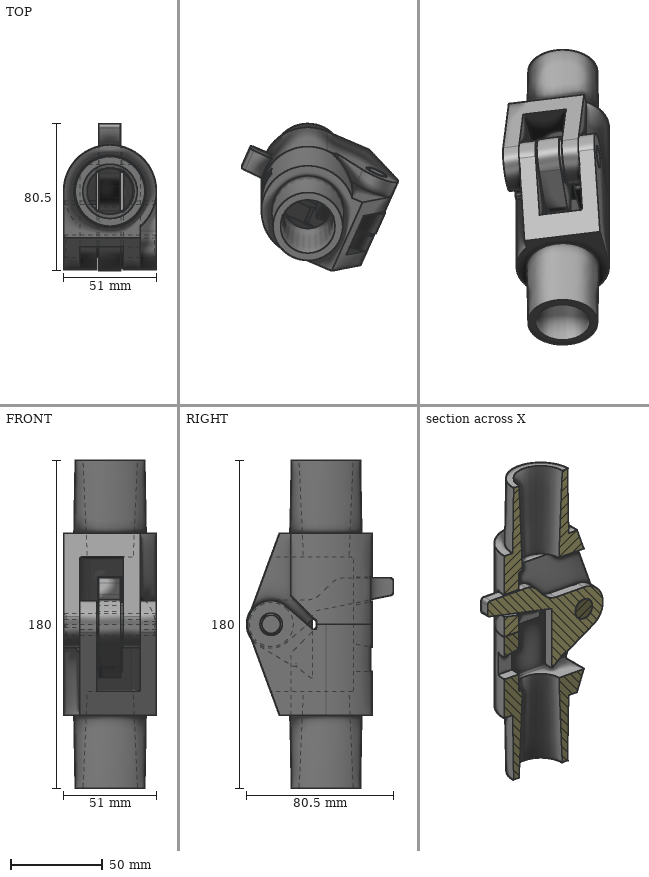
import cadquery as cq
import math


total_height = 180.0
half_height = 50.0
housing_width = 51.0
housing_radius = housing_width / 2
shoulder_front_y = -housing_radius
spigot_base_radius = 19.8
spigot_tip_radius = 19.0
bore_tip_radius = 15.0
bore_end_radius = 12.6

pin_y = -30.0
pin_radius = 6.1
pin_chamfer = 1.0
knuckle_radius = 13.0
lug_outer_x = 16.5
lug_inner_x = 7.4
flank_angle = math.radians(41)
notch_y = -5.2
notch_height = 2.7
relief_height = 1.6
relief_run = 21.6

cavity_top = 36.9
cavity_back_y = 15.0
cavity_corner_radius = 5.0
cavity_top_radius = 1.3
slot_width = 13.0
slot_top = 26.0
slot_floor = 12.6
slope = 0.2
cut_overrun = 1.8

lever_left_x = -6.3
lever_right_x = 5.8
eye_radius = 13.5
tail_end_y = 37.0
tail_top = 25.5
tail_bottom = 16.0
tail_tip_radius = 2.2
shoulder_radius = 9.9
shoulder_start_y = 9.9
leg_angle = math.radians(31)
leg_step_z = -23.0
leg_step_length = 1.5
leg_step_radius = 2.2
foot_angle = math.radians(38)
leg_bottom = -29.3
leg_end_y = -7.5
leg_root_z = 3.6
leg_end_top = 8.1

washer_radius = 12.0


def box(x_range, y_range, z_range):
    """Axis-aligned block given by its limits."""
    size = [high - low for low, high in (x_range, y_range, z_range)]
    corner = (x_range[0], y_range[0], z_range[0])
    return cq.Workplane("XY").box(*size, centered=False).translate(corner)


def extrude_yz(profile, x_start, x_end):
    """Extrude a closed profile drawn in Y and Z between two X positions."""
    return profile.extrude(x_end - x_start).translate((x_start, 0, 0))


def cylinder_on_hinge(radius, x_start, x_end):
    return extrude_yz(cq.Workplane("YZ").center(pin_y, 0).circle(radius), x_start, x_end)


def on_circle(radius, angle):
    """Point around the hinge axis; the angle runs from +Y towards +Z."""
    return (pin_y + radius * math.cos(angle), radius * math.sin(angle))


def hinge_block():
    """Block in front of the cylinder, sloping into the round knuckle of the lugs."""
    to_corner_y = shoulder_front_y - pin_y
    corner_distance = math.hypot(to_corner_y, half_height)
    front_angle = math.atan2(half_height, to_corner_y) + math.acos(knuckle_radius / corner_distance)
    flank_normal = flank_angle - math.pi / 2
    flank_touch = on_circle(knuckle_radius, flank_normal)
    flank_top_y = flank_touch[0] + (notch_height - flank_touch[1]) / math.tan(flank_angle)
    profile = (
        cq.Workplane("YZ")
        .moveTo(0, half_height)
        .lineTo(shoulder_front_y, half_height)
        .lineTo(*on_circle(knuckle_radius, front_angle))
        .threePointArc(on_circle(knuckle_radius, -math.pi * 0.75), flank_touch)
        .lineTo(flank_top_y, notch_height)
        .lineTo(notch_y, notch_height)
        .lineTo(notch_y, 0)
        .lineTo(0, 0)
        .close()
    )
    return extrude_yz(profile, -housing_radius, lug_outer_x)


def housing_cylinder():
    """Round housing, cleared in front for the hinge block and the mating outer lug."""
    cylinder = cq.Workplane("XY").circle(housing_radius).extrude(half_height)
    notch = box((-housing_radius, lug_outer_x), (-housing_radius, notch_y), (0, notch_height))
    relief = extrude_yz(
        cq.Workplane("YZ").polyline([
            (notch_y, 0),
            (notch_y, relief_height),
            (notch_y - relief_run, relief_height + relief_run),
            (notch_y - relief_run, 0),
        ]).close(),
        lug_outer_x,
        housing_radius,
    )
    return cylinder.cut(notch).cut(relief)


def tapered_round(bottom_z, top_z, bottom_radius, top_radius):
    height = top_z - bottom_z
    return cq.Workplane(cq.Solid.makeCone(bottom_radius, top_radius, height, cq.Vector(0, 0, bottom_z)))


def cavity():
    """Window between the lugs, open to the front and towards the other half."""
    cavity_front_y = pin_y - knuckle_radius - cut_overrun
    return (
        box((-lug_outer_x, lug_inner_x), (cavity_front_y, cavity_back_y), (-half_height, cavity_top))
        .edges("|Z and <X and >Y")
        .fillet(cavity_corner_radius)
        .edges("(>Z and <X) or (>Z and >Y)")
        .fillet(cavity_top_radius)
    )


def tail_slot():
    """Slot through the rear wall with a floor that falls towards the inside."""
    inner_floor = slot_floor - slope * housing_radius
    outer_y = housing_radius + cut_overrun
    profile = cq.Workplane("YZ").polyline([
        (0, slot_top),
        (outer_y, slot_top),
        (outer_y, inner_floor + slope * outer_y),
        (0, inner_floor),
    ]).close()
    return extrude_yz(profile, -slot_width / 2, slot_width / 2)


def coupling_half():
    """Upper half; the lower one is the same part turned over about the Y axis."""
    spigot_top = total_height / 2
    return (
        housing_cylinder()
        .union(hinge_block())
        .union(tapered_round(half_height, spigot_top, spigot_base_radius, spigot_tip_radius))
        .cut(cavity())
        .cut(tapered_round(cavity_top, spigot_top, bore_end_radius, bore_tip_radius))
        .cut(tail_slot())
        .cut(cylinder_on_hinge(pin_radius, -housing_radius, housing_radius))
    )


def hinge_pin():
    return cylinder_on_hinge(pin_radius, -housing_radius, housing_radius).faces("<X or >X").chamfer(pin_chamfer)


def lever_arm():
    """Arm from the top of the eye, rising at 45 degrees to the tail that passes through the slot."""
    bend = shoulder_radius * math.sin(math.pi / 4)
    bend_drop = shoulder_radius - bend
    half_bend = math.pi / 8
    half_run = shoulder_radius * math.sin(half_bend)
    half_drop = shoulder_radius * (1 - math.cos(half_bend))
    rise = tail_top - eye_radius - 2 * bend_drop
    fall_start_y = shoulder_start_y - bend
    fall_end_y = fall_start_y - rise
    flat_y = fall_end_y - bend
    arm = (
        cq.Workplane("YZ")
        .moveTo(tail_end_y, tail_bottom)
        .lineTo(tail_end_y, tail_top)
        .lineTo(shoulder_start_y, tail_top)
        .threePointArc(
            (shoulder_start_y - half_run, tail_top - half_drop),
            (fall_start_y, tail_top - bend_drop),
        )
        .lineTo(fall_end_y, eye_radius + bend_drop)
        .threePointArc((flat_y + half_run, eye_radius + half_drop), (flat_y, eye_radius))
        .lineTo(pin_y, eye_radius)
        .lineTo(pin_y, tail_bottom - slope * (tail_end_y - pin_y))
        .close()
    )
    return extrude_yz(arm, lever_left_x, lever_right_x).edges("|X and >Y").fillet(tail_tip_radius)


def lever_leg():
    """Solid web below the arm; its stepped underside runs tangentially off the eye."""
    touch = on_circle(eye_radius, -math.pi / 2 - leg_angle)
    step_y = touch[0] + (touch[1] - leg_step_z) / math.tan(leg_angle)
    drop_y = step_y + leg_step_length
    foot_y = drop_y + (leg_step_z - leg_bottom) / math.tan(foot_angle)
    leg = cq.Workplane("YZ").polyline([
        (pin_y, leg_root_z),
        touch,
        (step_y, leg_step_z),
        (drop_y, leg_step_z),
        (foot_y, leg_bottom),
        (leg_end_y, leg_bottom),
        (leg_end_y, leg_end_top),
    ]).close()
    margin = leg_step_length / 2
    step_edges = cq.selectors.BoxSelector(
        (lever_left_x, step_y - margin, leg_step_z - margin),
        (lever_right_x, drop_y + margin, leg_step_z + margin),
    )
    return extrude_yz(leg, lever_left_x, lever_right_x).edges(step_edges).fillet(leg_step_radius)


def locking_lever():
    eye = cylinder_on_hinge(eye_radius, lever_left_x, lever_right_x)
    hole = cylinder_on_hinge(pin_radius, lever_left_x, lever_right_x)
    return eye.union(lever_arm()).union(lever_leg()).cut(hole)


def lever_washer():
    """Washer filling the gap between the lever and the lug on its +X side."""
    disc = cylinder_on_hinge(washer_radius, lever_right_x, lug_inner_x)
    return disc.cut(cylinder_on_hinge(pin_radius, lever_right_x, lug_inner_x))


halves = [
    coupling_half().rotate((0, 0, 0), (0, 1, 0), turn).val()
    for turn in (0, 180)
]
pin = hinge_pin()
lever = locking_lever()
washer = lever_washer()

result = cq.Compound.makeCompound([*halves, pin.val(), lever.val(), washer.val()])